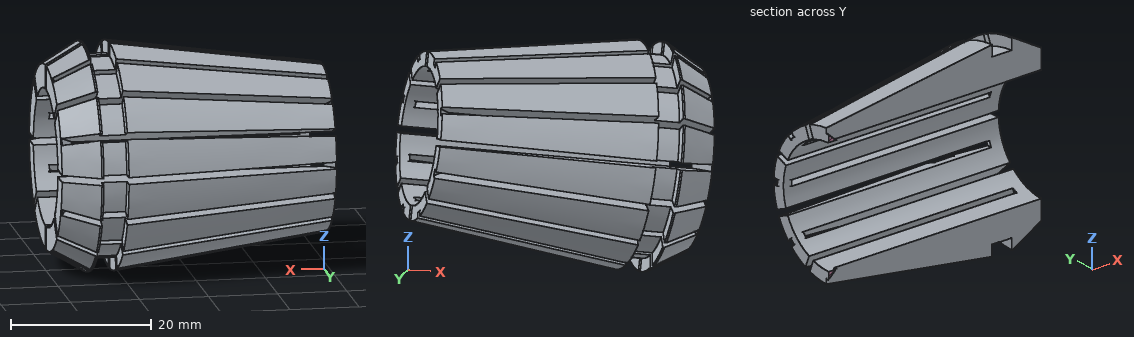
import cadquery as cq
import math

length = 40.0
outer_diameter = 33.0
outer_radius = outer_diameter / 2
bore_radius = 10.0

taper_length = 30.85
taper_angle = 8.0
groove_radius = 14.6
head_start = 34.5
head_land = 0.3
head_angle = 30.0

slot_width = 1.0
slots_per_set = 8
slot_pitch = 360 / slots_per_set
rear_bridge = 1.5
rear_notch_radius = 11.35
head_bridge = 2.2

cutter_margin = 2.0
cutter_inner_radius = bore_radius - cutter_margin
cutter_outer_radius = outer_radius + cutter_margin


def cone_offset(distance, angle):
    """Sideways shift of a line at the given angle over the given distance."""
    return distance * math.tan(math.radians(angle))


def collet_body():
    """Solid of revolution without slots."""
    head_cone_start = head_start + head_land
    rear_radius = outer_radius - cone_offset(taper_length, taper_angle)
    front_radius = outer_radius - cone_offset(length - head_cone_start, head_angle)
    profile = [
        (0, bore_radius),
        (0, rear_radius),
        (taper_length, outer_radius),
        (taper_length, groove_radius),
        (head_start, groove_radius),
        (head_start, outer_radius),
        (head_cone_start, outer_radius),
        (length, front_radius),
        (length, bore_radius),
    ]
    return cq.Workplane("XY").polyline(profile).close().revolve(360, (0, 0, 0), (1, 0, 0))


def slot_cutter(outline):
    """Flat blade with an outline given as (axial position, radius)."""
    return cq.Workplane("XY").polyline(outline).close().extrude(slot_width / 2, both=True)


def head_slot_cutter():
    """Open at the head; its end wall slopes from the rear face in to the bore."""
    wall_slope = rear_bridge / (rear_notch_radius - bore_radius)
    wall_inner_end = (rear_notch_radius - cutter_inner_radius) * wall_slope
    return slot_cutter([
        (0, rear_notch_radius),
        (wall_inner_end, cutter_inner_radius),
        (length, cutter_inner_radius),
        (length, cutter_outer_radius),
        (0, cutter_outer_radius),
    ])


def rear_slot_cutter():
    """Open at the rear; its end wall leans so that it is square to the head cone."""
    wall_at_bore = length - head_bridge
    wall_inner_end = wall_at_bore - cone_offset(bore_radius - cutter_inner_radius, head_angle)
    wall_outer_end = wall_at_bore + cone_offset(cutter_outer_radius - bore_radius, head_angle)
    return slot_cutter([
        (0, cutter_inner_radius),
        (wall_inner_end, cutter_inner_radius),
        (wall_outer_end, cutter_outer_radius),
        (0, cutter_outer_radius),
    ])


def cut_slots(body, cutter, first_angle):
    """Cut one evenly spaced set of slots around the X axis."""
    for index in range(slots_per_set):
        angle = first_angle + index * slot_pitch
        body = body.cut(cutter.rotate((0, 0, 0), (1, 0, 0), angle))
    return body


result = collet_body()
result = cut_slots(result, head_slot_cutter(), 0)
result = cut_slots(result, rear_slot_cutter(), slot_pitch / 2)